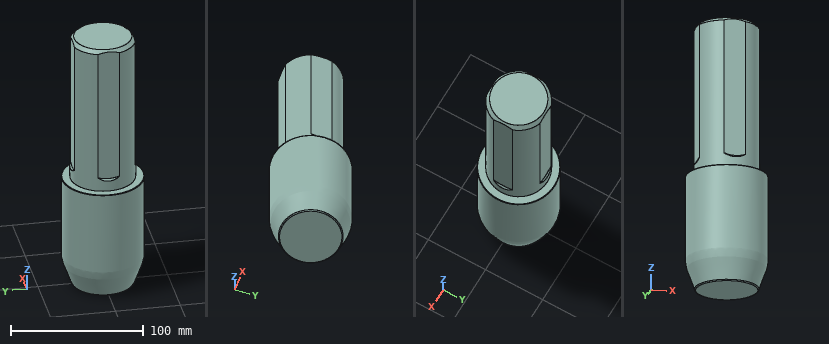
import cadquery as cq
import math

total_length = 210.0
body_radius = 63.0 / 2
body_length = 90.0
body_edge_chamfer = 0.5

shank_radius = 50.0 / 2
shank_chamfer = 3.0
flat_distance = 23.5
flat_bottom = 100.0
flat_end_radius = shank_radius

blend_top = 23.7
blend_radius = 20.0
taper_angle = math.radians(20)
tip_chamfer = 0.8


def blend_point(angle):
    """Radius and height on the blend arc, at an angle below its upper end."""
    return (
        body_radius - blend_radius * (1 - math.cos(angle)),
        blend_top - blend_radius * math.sin(angle),
    )


def make_turned_body():
    """Revolve the half profile about the Z axis."""
    cone_top_radius, cone_top = blend_point(taper_angle)
    tip_radius = cone_top_radius - (cone_top - tip_chamfer) * math.tan(taper_angle)
    return (
        cq.Workplane("XZ")
        .moveTo(0, 0)
        .lineTo(tip_radius - tip_chamfer, 0)
        .lineTo(tip_radius, tip_chamfer)
        .lineTo(cone_top_radius, cone_top)
        .threePointArc(blend_point(taper_angle / 2), (body_radius, blend_top))
        .lineTo(body_radius, body_length - body_edge_chamfer)
        .lineTo(body_radius - body_edge_chamfer, body_length)
        .lineTo(shank_radius, body_length)
        .lineTo(shank_radius, total_length - shank_chamfer)
        .lineTo(shank_radius - shank_chamfer, total_length)
        .lineTo(0, total_length)
        .close()
        .revolve(360, (0, 0), (0, 1))
    )


def make_flat_cutter():
    """Cutter for the +X flat, with a rounded lower end whose wall flares at 45 degrees."""
    end_center = flat_bottom + flat_end_radius
    cutter_depth = body_radius - flat_distance
    rounded_end = cq.Workplane(
        cq.Solid.makeCone(
            flat_end_radius,
            flat_end_radius + cutter_depth,
            cutter_depth,
            pnt=cq.Vector(flat_distance, 0, end_center),
            dir=cq.Vector(1, 0, 0),
        )
    )
    straight_part = cq.Workplane("XY").box(
        cutter_depth,
        2 * flat_end_radius,
        total_length - end_center,
        centered=(False, True, False),
    ).translate((flat_distance, 0, end_center))
    return rounded_end.union(straight_part)


result = make_turned_body()
flat_cutter = make_flat_cutter()
for flat_angle in (0, 90, 180, 270):
    result = result.cut(flat_cutter.rotate((0, 0, 0), (0, 0, 1), flat_angle))